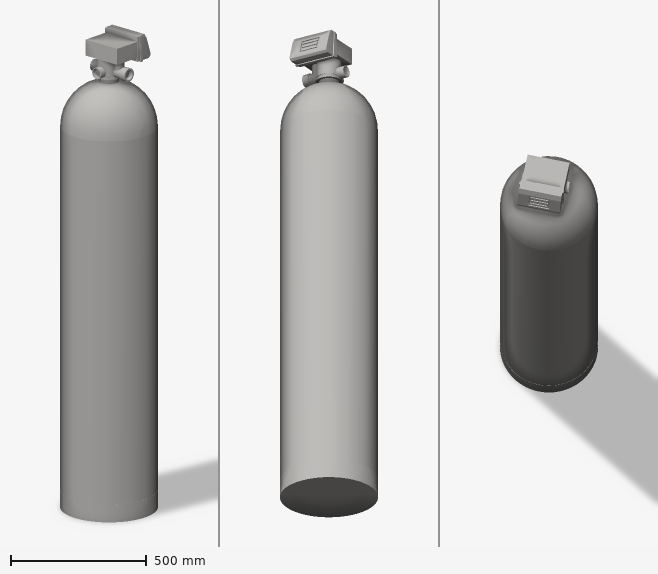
import cadquery as cq

OVERALL_HEIGHT = 1837.0
VALVE_TURN_DEG = 4.5

BASE_DIAMETER = 362.0
BASE_HEIGHT = 70.0
TANK_DIAMETER = 360.0
TANK_SHOULDER_Z = 1480.0
TANK_RADIUS = TANK_DIAMETER / 2
DOME_TOP_Z = TANK_SHOULDER_Z + TANK_RADIUS

NECK_DIAMETER = 75.0
FLANGE_DIAMETER = 100.0
GROOVE_DIAMETER = 90.0
BODY_DIAMETER = 94.0
FLANGE_BOTTOM_Z = 1675.0
FLANGE_TOP_Z = 1683.0
BODY_BOTTOM_Z = 1690.0

PORT_Z = 1701.0
PORT_DIAMETER = 45.0
PORT_BORE = 37.0
PORT_BORE_DEPTH = 18.0
LEFT_PORT_REACH = 75.0
FRONT_PORT_REACH = 68.0
RIGHT_PORT_REACH = 101.0
RIGHT_COLLAR_DIAMETER = 51.0
RIGHT_COLLAR_LENGTH = 25.0
RIGHT_BORE = 39.0
RISER_X = 51.0
RISER_DIAMETER = 39.0

BOX_LEFT = -66.0
BOX_RIGHT = 92.0
BOX_FRONT = -55.0
BOX_BACK = 53.0
BOX_BOTTOM_Z = 1753.0
BOX_TOP_Z = 1815.0
HEAD_BOTTOM_Z = 1738.0
PLATE_LEFT = -68.0
PLATE_RIGHT = 94.0
PLATE_TOP_Z = 1834.0
PLATE_THICKNESS = 15.0
PLATE_BACK = BOX_BACK + PLATE_THICKNESS
SLAB_LEFT = -70.0
SLAB_RIGHT = 97.0
SLAB_TOP_Z = 1835.0
SLAB_BOTTOM_Z = 1735.0
SLAB_THICKNESS = 11.0
SLAB_LEAN = 5.0
SLAB_BOTTOM_BACK = PLATE_BACK + SLAB_THICKNESS
SLAB_TOP_BACK = SLAB_BOTTOM_BACK - SLAB_LEAN

HOUSING_LEFT = -66.0
HOUSING_RIGHT = 94.0
HOUSING_FRONT = SLAB_TOP_BACK
HOUSING_TOP_BACK = 90.0
BROW = (103.0, 1819.0)
CHIN = (123.0, 1756.0)
CHIN_BOTTOM_Z = 1745.0
HOUSING_BOTTOM_BACK = 114.0

PANEL_WIDTH = 77.0
PANEL_HEIGHT = 51.0
PANEL_DEPTH = 4.0
KEY_ROWS = 3
KEY_PITCH = 17.0
KEY_HEIGHT = 10.0
KEY_WIDTH = 66.0


def disc(diameter, bottom_z, top_z, center_x=0.0):
    """Upright cylinder between two levels."""
    circle = cq.Workplane("XY", origin=(center_x, 0, bottom_z)).circle(diameter / 2)
    return circle.extrude(top_z - bottom_z)


def rod(diameter, start, direction, length):
    """Cylinder from a start point along a direction."""
    solid = cq.Solid.makeCylinder(diameter / 2, length, cq.Vector(*start), cq.Vector(*direction))
    return cq.Workplane(obj=solid)


def side_profile(points, left, right):
    """Extrude a (Y, Z) outline along X from left to right."""
    return cq.Workplane("YZ", origin=(left, 0, 0)).polyline(points).close().extrude(right - left)


def make_tank():
    """Base ring, cylinder and hemispherical dome."""
    shell = (
        cq.Workplane("XZ")
        .lineTo(TANK_RADIUS, 0)
        .lineTo(TANK_RADIUS, TANK_SHOULDER_Z)
        .radiusArc((0, DOME_TOP_Z), -TANK_RADIUS)
        .close()
        .revolve(360, (0, 0), (0, 1))
    )
    return shell.union(disc(BASE_DIAMETER, 0, BASE_HEIGHT))


def make_body():
    """Neck, flange, groove and valve body."""
    neck = disc(NECK_DIAMETER, TANK_SHOULDER_Z, FLANGE_BOTTOM_Z)
    flange = disc(FLANGE_DIAMETER, FLANGE_BOTTOM_Z, FLANGE_TOP_Z)
    groove = disc(GROOVE_DIAMETER, FLANGE_TOP_Z, BODY_BOTTOM_Z)
    body = disc(BODY_DIAMETER, BODY_BOTTOM_Z, BOX_BOTTOM_Z)
    return neck.union(flange).union(groove).union(body)


def add_port(valve, direction, reach, bore):
    """Run a pipe outwards from the valve axis and sink a blind bore in its open end."""
    bore_start = reach - PORT_BORE_DEPTH
    bore_point = (direction[0] * bore_start, direction[1] * bore_start, PORT_Z)
    pipe = rod(PORT_DIAMETER, (0, 0, PORT_Z), direction, reach)
    return valve.union(pipe).cut(rod(bore, bore_point, direction, PORT_BORE_DEPTH))


def add_ports(valve):
    """Left and front ports, and the collared right port with its riser."""
    collar_start = RIGHT_PORT_REACH - RIGHT_COLLAR_LENGTH
    collar = rod(RIGHT_COLLAR_DIAMETER, (collar_start, 0, PORT_Z), (1, 0, 0), RIGHT_COLLAR_LENGTH)
    riser = disc(RISER_DIAMETER, PORT_Z, BOX_BOTTOM_Z, RISER_X)
    valve = valve.union(collar).union(riser)
    valve = add_port(valve, (-1, 0, 0), LEFT_PORT_REACH, PORT_BORE)
    valve = add_port(valve, (0, -1, 0), FRONT_PORT_REACH, PORT_BORE)
    return add_port(valve, (1, 0, 0), RIGHT_PORT_REACH, RIGHT_BORE)


def make_key_panel():
    """Recess in the sloping face, leaving rows of keys standing in it."""
    slope = cq.Vector(0, CHIN[0] - BROW[0], CHIN[1] - BROW[1])
    outward = cq.Vector(1, 0, 0).cross(slope)
    middle = (
        (HOUSING_LEFT + HOUSING_RIGHT) / 2,
        (BROW[0] + CHIN[0]) / 2,
        (BROW[1] + CHIN[1]) / 2,
    )
    face = cq.Workplane(cq.Plane(origin=middle, xDir=(1, 0, 0), normal=outward))
    recess = face.rect(PANEL_WIDTH, PANEL_HEIGHT).extrude(-PANEL_DEPTH)
    keys = face.rarray(18, KEY_PITCH, 1, KEY_ROWS).rect(KEY_WIDTH, KEY_HEIGHT).extrude(-PANEL_DEPTH)
    return recess.cut(keys)


def make_housing():
    """Display housing with a sloping face and a sunken key panel."""
    outline = [
        (HOUSING_FRONT, HEAD_BOTTOM_Z),
        (HOUSING_FRONT, OVERALL_HEIGHT),
        (HOUSING_TOP_BACK, OVERALL_HEIGHT),
        BROW,
        CHIN,
        (CHIN[0], CHIN_BOTTOM_Z),
        (HOUSING_BOTTOM_BACK, HEAD_BOTTOM_Z),
    ]
    housing = side_profile(outline, HOUSING_LEFT, HOUSING_RIGHT)
    return housing.cut(make_key_panel())


def make_head():
    """Motor box, backplate, leaning slab and display housing."""
    box_outline = [
        (BOX_FRONT, BOX_BOTTOM_Z),
        (BOX_BACK, BOX_BOTTOM_Z),
        (BOX_BACK, BOX_TOP_Z),
        (BOX_FRONT, BOX_TOP_Z),
    ]
    plate_outline = [
        (BOX_BACK, HEAD_BOTTOM_Z),
        (PLATE_BACK, HEAD_BOTTOM_Z),
        (PLATE_BACK, PLATE_TOP_Z),
        (BOX_BACK, PLATE_TOP_Z),
    ]
    slab_outline = [
        (PLATE_BACK, SLAB_BOTTOM_Z),
        (SLAB_BOTTOM_BACK, SLAB_BOTTOM_Z),
        (SLAB_TOP_BACK, SLAB_TOP_Z),
        (PLATE_BACK - SLAB_LEAN, SLAB_TOP_Z),
    ]
    box = side_profile(box_outline, BOX_LEFT, BOX_RIGHT)
    plate = side_profile(plate_outline, PLATE_LEFT, PLATE_RIGHT)
    slab = side_profile(slab_outline, SLAB_LEFT, SLAB_RIGHT)
    return box.union(plate).union(slab).union(make_housing())


valve_assembly = add_ports(make_body()).union(make_head())
valve_assembly = valve_assembly.rotate((0, 0, 0), (0, 0, 1), VALVE_TURN_DEG)
result = make_tank().union(valve_assembly)